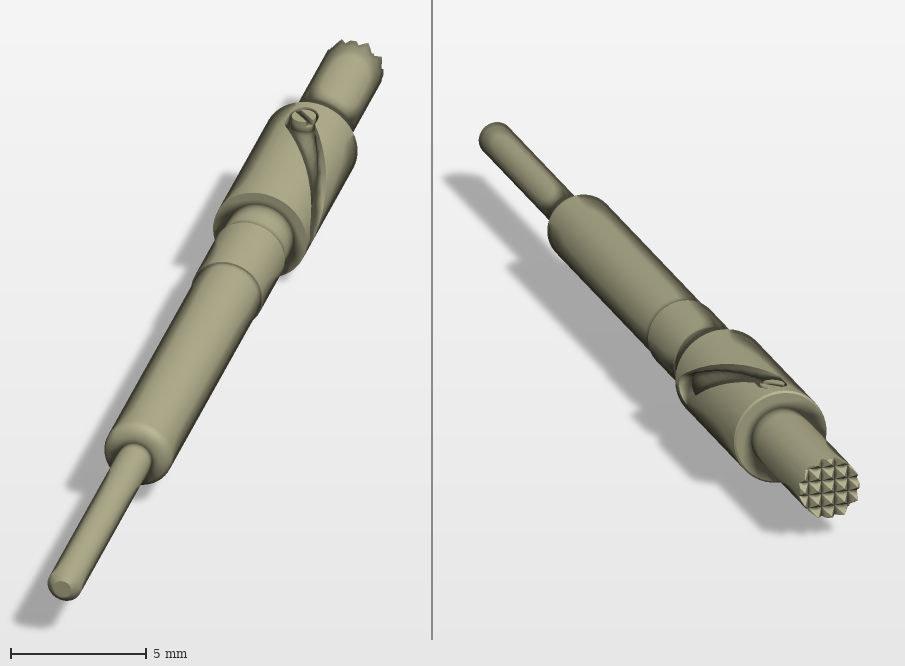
import cadquery as cq
import math


overall_length = 40.0
head_diameter = 2.3
collar_diameter = 3.6
collar_start = 6.0
collar_end = 13.0
collar_chamfer = 0.07
barrel_diameter = 2.6
press_ring_diameter = 2.75
press_ring_start = 14.5
press_ring_end = 17.5
barrel_end = 30.05
barrel_end_fillet = 0.5
tail_diameter = 1.3
tail_chamfer = 0.3

teeth_across = 5
tooth_pitch = 0.51
tooth_depth = tooth_pitch * math.sqrt(3) / 2

slot_width = 1.1
slot_floor_radius = barrel_diameter / 2
slot_start = 7.0
slot_turn = 7.6
slot_end = 12.0
slot_sweep_angle = 90.0

pin_diameter = 0.9
pin_top_radius = 1.75
slit_width = 0.25
slit_depth = 0.25
slit_angle = -45.0

clearance = 0.5
full_turn = 360.0


def make_body():
    """Stepped pin turned about the Z axis."""
    head_radius = head_diameter / 2
    collar_radius = collar_diameter / 2
    barrel_radius = barrel_diameter / 2
    press_ring_radius = press_ring_diameter / 2
    tail_radius = tail_diameter / 2
    arc_mid_inset = barrel_end_fillet * (1 - math.sqrt(0.5))
    profile = (
        cq.Workplane("XZ")
        .moveTo(0, 0)
        .lineTo(head_radius, 0)
        .lineTo(head_radius, collar_start)
        .lineTo(collar_radius - collar_chamfer, collar_start)
        .lineTo(collar_radius, collar_start + collar_chamfer)
        .lineTo(collar_radius, collar_end)
        .lineTo(barrel_radius, collar_end)
        .lineTo(barrel_radius, press_ring_start)
        .lineTo(press_ring_radius, press_ring_start)
        .lineTo(press_ring_radius, press_ring_end)
        .lineTo(barrel_radius, press_ring_end)
        .lineTo(barrel_radius, barrel_end - barrel_end_fillet)
        .threePointArc(
            (barrel_radius - arc_mid_inset, barrel_end - arc_mid_inset),
            (barrel_radius - barrel_end_fillet, barrel_end),
        )
        .lineTo(tail_radius, barrel_end)
        .lineTo(tail_radius, overall_length - tail_chamfer)
        .lineTo(tail_radius - tail_chamfer, overall_length)
        .lineTo(0, overall_length)
        .close()
    )
    return profile.revolve(full_turn, (0, 0, 0), (0, 1, 0))


def cut_teeth(body):
    """Cut crossing rows of V grooves that leave pyramid teeth on the head."""
    for plane in ("XZ", "YZ"):
        for row in range(teeth_across + 1):
            valley = (row - teeth_across / 2) * tooth_pitch
            groove = (
                cq.Workplane(plane)
                .moveTo(valley - tooth_pitch / 2, 0)
                .lineTo(valley, tooth_depth)
                .lineTo(valley + tooth_pitch / 2, 0)
                .close()
                .extrude(head_diameter, both=True)
            )
            body = body.cut(groove)
    return body


def radial_cylinder(diameter, inner_radius, outer_radius, axial, angle=0.0):
    """Cylinder pointing outward from the axis, turned by angle from the top."""
    return (
        cq.Workplane("YZ", origin=(inner_radius, 0, axial))
        .circle(diameter / 2)
        .extrude(outer_radius - inner_radius)
        .rotate((0, 0, 0), (0, 0, 1), angle)
    )


def make_slot():
    """Tool for the guide slot, cleared down to a cylindrical floor."""
    outer_radius = collar_diameter / 2 + clearance
    inner_radius = slot_floor_radius - clearance
    mid_radius = (inner_radius + outer_radius) / 2
    depth = outer_radius - inner_radius
    helix_rise = slot_end - slot_turn
    helix = cq.Wire.makeHelix(
        helix_rise * full_turn / slot_sweep_angle,
        helix_rise,
        mid_radius,
        center=cq.Vector(0, 0, slot_turn),
        lefthand=True,
    )
    arc_length = mid_radius * math.radians(slot_sweep_angle)
    start_plane = cq.Plane(
        origin=(mid_radius, 0, slot_turn),
        xDir=(1, 0, 0),
        normal=(0, -arc_length, helix_rise),
    )
    helical_run = (
        cq.Workplane(start_plane)
        .rect(depth, slot_width)
        .sweep(cq.Workplane(helix), isFrenet=True)
    )
    axial_run = (
        cq.Workplane("YZ", origin=(inner_radius, 0, (slot_start + slot_turn) / 2))
        .rect(slot_width, slot_turn - slot_start)
        .extrude(depth)
    )
    slot = helical_run.union(axial_run)
    for axial, angle in ((slot_start, 0), (slot_turn, 0), (slot_end, -slot_sweep_angle)):
        slot = slot.union(radial_cylinder(slot_width, inner_radius, outer_radius, axial, angle))
    floor = cq.Workplane("XY").circle(slot_floor_radius).extrude(overall_length)
    return slot.cut(floor)


def make_guide_pin():
    """Radial pin with a slit across its top, rooted inside the body."""
    pin = radial_cylinder(pin_diameter, 0, pin_top_radius, slot_start)
    slit = (
        cq.Workplane("YZ", origin=(pin_top_radius - slit_depth, 0, slot_start))
        .rect(2 * pin_diameter, slit_width)
        .extrude(2 * slit_depth)
        .rotate((0, 0, slot_start), (1, 0, slot_start), slit_angle)
    )
    return pin.cut(slit)


part = cut_teeth(make_body()).cut(make_slot()).union(make_guide_pin())

placement = cq.Plane(origin=(0, collar_end, 0), xDir=(0, 0, 1), normal=(0, -1, 0))
result = cq.Workplane(part.val().moved(placement.location))